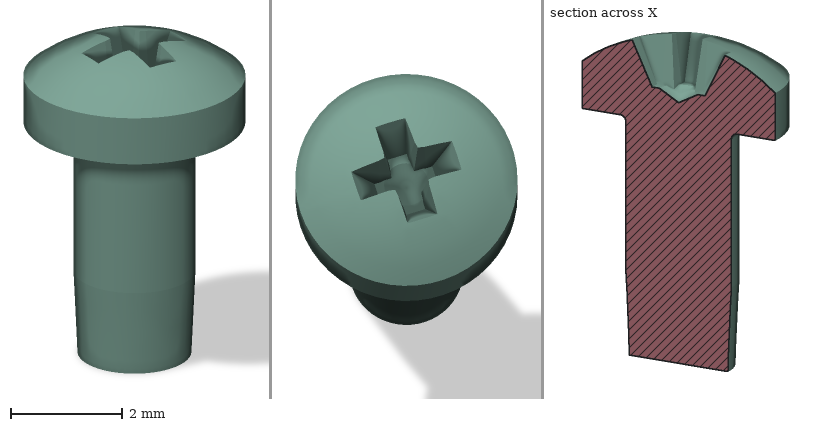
import cadquery as cq
import math

head_diameter = 4.0
shank_radius = 1.1
tip_radius = 1.025
taper_length = 1.6
shank_length = 4.5
rim_height = 0.9
dome_height = 0.705
neck_fillet = 0.105

head_radius = head_diameter / 2
rim_top = shank_length + rim_height
dome_top = rim_top + dome_height
dome_radius = (head_radius**2 + dome_height**2) / (2 * dome_height)

recess_depth = 0.97
wing_count = 4
wing_floor_reach = 0.545
wing_floor_half_width = 0.18
wing_end_draft = math.radians(26.5)
wing_side_draft = math.radians(7)
splay_start = 0.43
splay_angle = math.radians(9.5)
cone_radius = 0.4
cone_slope = math.radians(28)
recess_margin = 0.06

recess_floor = dome_top - recess_depth


def dome_z(radius):
    """Height of the spherical dome at a distance from the axis."""
    return dome_top - dome_radius + math.sqrt(dome_radius**2 - radius**2)


def make_body():
    """Revolve the head, neck fillet, shank and tapered end."""
    mid_radius = head_radius / 2
    neck_mid = neck_fillet * (1 - math.cos(math.radians(45)))
    return (
        cq.Workplane("XZ")
        .lineTo(tip_radius, 0)
        .lineTo(shank_radius, taper_length)
        .lineTo(shank_radius, shank_length - neck_fillet)
        .threePointArc(
            (shank_radius + neck_mid, shank_length - neck_mid),
            (shank_radius + neck_fillet, shank_length),
        )
        .lineTo(head_radius, shank_length)
        .lineTo(head_radius, rim_top)
        .threePointArc((mid_radius, dome_z(mid_radius)), (0, dome_top))
        .close()
        .revolve(360, (0, 0), (0, 1))
    )


def cross_outline(height):
    """Corner points of the cross at a height above the recess floor."""
    reach = wing_floor_reach + height * math.tan(wing_end_draft)
    half_width = wing_floor_half_width + height * math.tan(wing_side_draft)
    splay = math.tan(splay_angle)
    inner_corner = (half_width + splay * splay_start) / (1 + splay)
    quarter = [
        (reach, -half_width),
        (reach, half_width),
        (splay_start, half_width),
        (inner_corner, inner_corner),
        (half_width, splay_start),
    ]
    points = []
    for _ in range(wing_count):
        for x, y in quarter:
            points.append((x, y))
        quarter = [(-y, x) for x, y in quarter]
    return points


def make_cross(bottom, top):
    """Solid cross between two heights measured from the recess floor."""
    return (
        cq.Workplane("XY", origin=(0, 0, recess_floor + bottom))
        .polyline(cross_outline(bottom))
        .close()
        .workplane(offset=top - bottom)
        .polyline(cross_outline(top))
        .close()
        .loft(ruled=True)
    )


def make_recess():
    """Cross with drafted walls that run on below its floor into a cone."""
    cone_depth = cone_radius * math.tan(cone_slope)
    cone_tip = cq.Vector(0, 0, recess_floor - cone_depth)
    cone = cq.Workplane(cq.Solid.makeCone(0, cone_radius, cone_depth, cone_tip))
    upper = make_cross(0, recess_depth + recess_margin)
    lower = make_cross(-cone_depth, 0).intersect(cone)
    return upper.union(lower)


result = make_body().cut(make_recess())